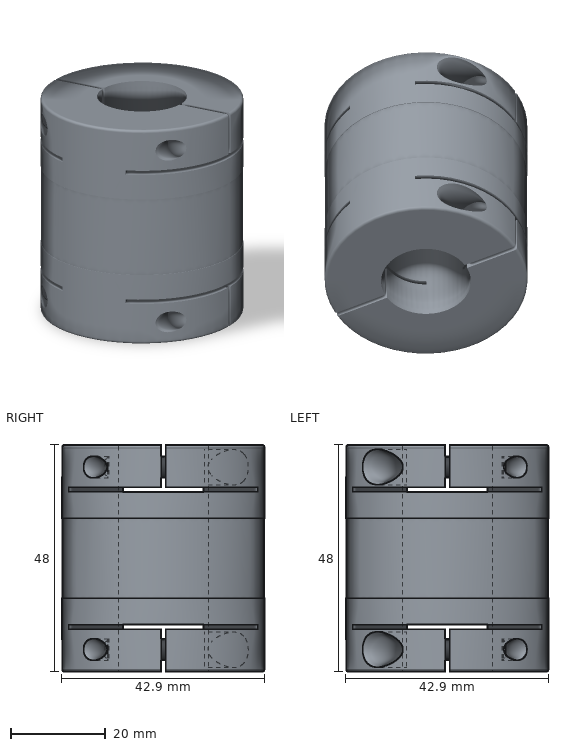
import cadquery as cq
import math

total_height = 48.0
hub_diameter = 42.9
sleeve_diameter = 42.65
hub_height = 15.5
bore_diameter = 19.0
rim_fillet = 0.6

clamp_height = 9.0
slit_width = 0.95
slit_outer_x = 7.75
slit_inner_y = 8.5
gap_width = 0.95

fastener_offset = 15.55
fastener_drop = 4.7
screw_diameter = 4.15
screw_hole_diameter = 4.5
screw_tip_y = -12.35
screw_tip_chamfer = 0.55
screw_hole_floor_y = -11.5
counterbore_diameter = 7.5
counterbore_floor_y = 8.65
pin_diameter = 4.6
pin_front_y = -11.75
pin_back_y = 0.95

hub_radius = hub_diameter / 2
bore_radius = bore_diameter / 2
half_height = total_height / 2
hub_bottom_z = half_height - hub_height
slit_top_z = half_height - clamp_height
slit_bottom_z = slit_top_z - slit_width
fastener_z = half_height - fastener_drop


def cylinder_along_y(diameter, x, y_start, y_end):
    """Cylinder parallel to Y at the fastener height of the upper ring."""
    return (
        cq.Workplane("XZ", origin=(x, y_start, fastener_z))
        .circle(diameter / 2)
        .extrude(y_start - y_end)
    )


def make_hub():
    """Upper hub with its bore and rounded outer rim."""
    return (
        cq.Workplane("XY", origin=(0, 0, hub_bottom_z))
        .circle(hub_radius)
        .extrude(hub_height)
        .faces(">Z")
        .edges()
        .fillet(rim_fillet)
        .cut(cq.Workplane("XY").circle(bore_radius).extrude(half_height))
    )


def cut_slits(hub):
    """Cut a slit from +X and one from -X, leaving a bridge at +Y and at -Y.

    Each slit ends in an arc that bulges towards the Z axis. The arc is centred on
    the X axis and passes through the slit's end points on the hub and on the bore.
    """
    slit_inner_x = math.sqrt(bore_radius**2 - slit_inner_y**2)
    arc_center_x = (hub_radius**2 - bore_radius**2) / (2 * (slit_outer_x - slit_inner_x))
    arc_radius = math.hypot(arc_center_x - slit_inner_x, slit_inner_y)
    slits = (
        cq.Workplane("XY", origin=(0, 0, slit_bottom_z))
        .pushPoints([(arc_center_x, 0), (-arc_center_x, 0)])
        .circle(arc_radius)
        .extrude(slit_width)
    )
    return hub.cut(slits)


def cut_clamp_gap(hub):
    """Cut the gap along X that divides the clamp ring into two halves."""
    gap = cq.Workplane("XY", origin=(0, 0, slit_top_z)).box(
        hub_diameter, gap_width, clamp_height, centered=(True, True, False)
    )
    return hub.cut(gap)


def add_screw(hub):
    """Screw with a chamfered tip on the -Y side and a counterbore on the +Y side."""
    x = -fastener_offset
    tip_hole = cylinder_along_y(screw_hole_diameter, x, -hub_radius, screw_hole_floor_y)
    counterbore = cylinder_along_y(counterbore_diameter, x, counterbore_floor_y, hub_radius)
    screw = (
        cylinder_along_y(screw_diameter, x, screw_tip_y, counterbore_floor_y)
        .faces("<Y")
        .edges()
        .chamfer(screw_tip_chamfer)
    )
    return hub.cut(tip_hole).cut(counterbore).union(screw)


def add_pin(hub):
    """Plain pin across the gap, with its flat end recessed on the -Y side."""
    recess = cylinder_along_y(pin_diameter, fastener_offset, -hub_radius, pin_front_y)
    pin = cylinder_along_y(pin_diameter, fastener_offset, pin_front_y, pin_back_y)
    return hub.cut(recess).union(pin)


upper_hub = make_hub()
upper_hub = cut_slits(upper_hub)
upper_hub = cut_clamp_gap(upper_hub)
upper_hub = add_screw(upper_hub)
upper_hub = add_pin(upper_hub)

sleeve = (
    cq.Workplane("XY", origin=(0, 0, -hub_bottom_z))
    .circle(sleeve_diameter / 2)
    .circle(bore_radius)
    .extrude(2 * hub_bottom_z)
)

result = sleeve.union(upper_hub).union(upper_hub.mirror("XY"))